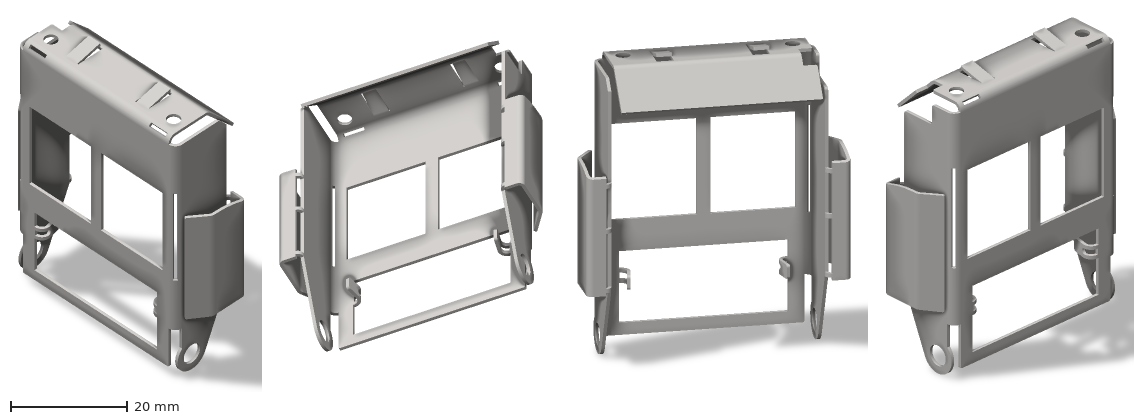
import cadquery as cq
import math


SHEET = 0.6
BEND_OUTER = 1.65
CLIP_BEND_OUTER = 1.1

HEIGHT = 55.05
HALF_WIDTH = 19.4
ROOF_TOP = 53.75
SHELL_BACK = 12.4
PLATE_BOTTOM = 1.85
PLATE_CORNER_RADIUS = 0.3
SIDE_BEND_BOTTOM = 10.6
PLATE_HALF_WIDTH = HALF_WIDTH - BEND_OUTER
PLATE_TOP = ROOF_TOP - BEND_OUTER
WALL_INNER = HALF_WIDTH - SHEET

UPPER_WINDOW_WIDTH = 15.0
UPPER_WINDOW_INNER = 1.2
UPPER_WINDOW_BOTTOM = 22.8
UPPER_WINDOW_TOP = 40.25
LOWER_WINDOW_HALF_WIDTH = 14.9
LOWER_WINDOW_BOTTOM = 4.1
LOWER_WINDOW_TOP = 17.05

LUG_RADIUS = 3.45
LUG_HOLE_RADIUS = 2.0
LUG_Y = 4.0
LUG_Z = LUG_RADIUS

WALL_NOTCH_FRONT = 5.45
WALL_NOTCH_BOTTOM = 48.2
WALL_NOTCH_RADIUS = 0.5
WALL_CHAMFER = 1.85

CLIP_BACK = SHELL_BACK + CLIP_BEND_OUTER
CLIP_HALF_WIDTH = 23.25
CLIP_KNEE_Y = 5.8
CLIP_KNEE_ANGLE = 37
CLIP_LIP_LENGTH = 4.3
CLIP_BOTTOM = 13.5
CLIP_TOP = 36.2
CLIP_TOP_ARC_START = 6.15
CLIP_TOP_ARC_RADIUS = 20.05
CLIP_LIP_DROP = 0.2
CLIP_LIP_RADIUS = 0.35
CLIP_STRIP_HEIGHT = 0.75
CLIP_STRIP_BOTTOMS = (14.05, 24.8, 33.0)

ROOF_BACK = 8.85
FLAP_ANGLE = 45
FLAP_LENGTH = 8.3
ROOF_NOTCH_FRONT = 7.05
ROOF_NOTCH_DEPTH = 2.5
ROOF_NOTCH_ON_FLAP = 1.65
ROOF_NOTCH_RADIUS = 0.35
ROOF_HOLE_X = 14.9
ROOF_HOLE_Y = 4.0
ROOF_HOLE_RADIUS = 1.3

TONGUE_INNER = 7.15
TONGUE_OUTER = 9.95
TONGUE_GAP = 0.2
TONGUE_ROOT_Y = 2.65
TONGUE_BEND_OUTER = 1.3
TONGUE_TILT = 13.5
TONGUE_TIP_RADIUS = 0.15
TONGUE_OPENING_BACK = 8.55

BEND_SLOT_ANGLE = 29
SIDE_SLOT_DIRECTION = -45
SIDE_SLOT_BOTTOM = 21.8
SIDE_SLOT_TOP = 41.35
ROOF_SLOT_DIRECTION = 135
ROOF_SLOT_INNER = 12.65
ROOF_SLOT_LENGTH = 3.95

HOOK_BOTTOM = 11.3
HOOK_HEIGHT = 2.6
HOOK_FLAT = 0.15
HOOK_LEAN = 12
HOOK_LENGTH = 2.9
HOOK_TIP_RADIUS = 0.5
HOOK_SLOT_WIDTH = 1.15

CUT_REACH = 5.5


def bent_sheet(plane, start, heading, moves):
    """Closed profile of a folded strip; start lies on its left side, sheet thickness to the right.

    Each move is ("straight", length) or ("bend", outer radius, angle), a positive angle turning left.
    """
    x, y = start
    left = [(start, None)]
    right = []

    def across(angle, distance):
        radians = math.radians(angle)
        return math.sin(radians) * distance, -math.cos(radians) * distance

    dx, dy = across(heading, SHEET)
    right.append(((x + dx, y + dy), None))
    for move in moves:
        left_mid = None
        right_mid = None
        if move[0] == "straight":
            x += move[1] * math.cos(math.radians(heading))
            y += move[1] * math.sin(math.radians(heading))
        else:
            outer, turn = move[1:]
            reach = outer if turn < 0 else SHEET - outer
            dx, dy = across(heading, reach)
            centre_x, centre_y = x + dx, y + dy
            dx, dy = across(heading + turn / 2, 1)
            left_mid = (centre_x - dx * reach, centre_y - dy * reach)
            right_mid = (centre_x - dx * (reach - SHEET), centre_y - dy * (reach - SHEET))
            heading += turn
            dx, dy = across(heading, reach)
            x, y = centre_x - dx, centre_y - dy
        dx, dy = across(heading, SHEET)
        left.append(((x, y), left_mid))
        right.append(((x + dx, y + dy), right_mid))

    outline = cq.Workplane(plane).moveTo(*start)
    for point, middle in left[1:]:
        outline = outline.threePointArc(middle, point) if middle else outline.lineTo(*point)
    outline = outline.lineTo(*right[-1][0])
    for index in range(len(right) - 1, 0, -1):
        point = right[index - 1][0]
        middle = right[index][1]
        outline = outline.threePointArc(middle, point) if middle else outline.lineTo(*point)
    return outline.close()


def block(x_range, y_range, z_range):
    """Box between two limits on each axis."""
    sizes = [high - low for low, high in (x_range, y_range, z_range)]
    corner = (x_range[0], y_range[0], z_range[0])
    return cq.Workplane("XY").box(*sizes, centered=False).translate(corner)


def both_sides(shape):
    """The shape together with its mirror image across the middle plane X = 0."""
    return shape.union(shape.mirror("YZ"))


def bend_wedge(plane, bend_centre, direction, length):
    """Cutter for a slot whose sides point at the bend axis; direction is its middle angle in degrees."""
    far_points = [
        (
            bend_centre[0] + CUT_REACH * math.cos(math.radians(direction + offset)),
            bend_centre[1] + CUT_REACH * math.sin(math.radians(direction + offset)),
        )
        for offset in (-BEND_SLOT_ANGLE / 2, BEND_SLOT_ANGLE / 2)
    ]
    return cq.Workplane(plane).polyline([bend_centre, *far_points]).close().extrude(length)


def front_plate():
    """Flat front with its two upper windows and one lower window."""
    plate = block((-PLATE_HALF_WIDTH, PLATE_HALF_WIDTH), (0, SHEET), (PLATE_BOTTOM, PLATE_TOP))
    plate = plate.edges("|Y and <Z").fillet(PLATE_CORNER_RADIUS)
    upper_window = block(
        (UPPER_WINDOW_INNER, UPPER_WINDOW_INNER + UPPER_WINDOW_WIDTH),
        (0, SHEET),
        (UPPER_WINDOW_BOTTOM, UPPER_WINDOW_TOP),
    )
    lower_window = block(
        (-LOWER_WINDOW_HALF_WIDTH, LOWER_WINDOW_HALF_WIDTH),
        (0, SHEET),
        (LOWER_WINDOW_BOTTOM, LOWER_WINDOW_TOP),
    )
    return plate.cut(both_sides(upper_window)).cut(lower_window)


def side_bend():
    """Right-hand bend joining the front plate to its side wall, with the slot along it."""
    bend = bent_sheet("XY", (PLATE_HALF_WIDTH, SHEET), 0, [("bend", BEND_OUTER, 90)])
    bend = bend.extrude(PLATE_TOP - SIDE_BEND_BOTTOM).translate((0, 0, SIDE_BEND_BOTTOM))
    bend_centre = (PLATE_HALF_WIDTH, BEND_OUTER)
    slot = bend_wedge("XY", bend_centre, SIDE_SLOT_DIRECTION, SIDE_SLOT_TOP - SIDE_SLOT_BOTTOM)
    slot = slot.translate((0, 0, SIDE_SLOT_BOTTOM))
    return bend.cut(slot)


def side_wall():
    """Right-hand wall, tapering down to the hinge lug."""
    corner_y, corner_z = SHELL_BACK, CLIP_STRIP_BOTTOMS[0]
    away_y, away_z = corner_y - LUG_Y, corner_z - LUG_Z
    tangent_angle = math.atan2(away_z, away_y) - math.acos(LUG_RADIUS / math.hypot(away_y, away_z))
    tangent_y = LUG_Y + LUG_RADIUS * math.cos(tangent_angle)
    tangent_z = LUG_Z + LUG_RADIUS * math.sin(tangent_angle)
    wall = (
        cq.Workplane("YZ", origin=(WALL_INNER, 0, 0))
        .polyline([
            (BEND_OUTER, LUG_Z),
            (BEND_OUTER, PLATE_TOP),
            (SHELL_BACK, PLATE_TOP),
            (corner_y, corner_z),
            (tangent_y, tangent_z),
            (LUG_Y, LUG_Z),
        ])
        .close()
        .extrude(SHEET)
    )
    lug = cq.Workplane("YZ", origin=(WALL_INNER, LUG_Y, LUG_Z))
    disc = lug.circle(LUG_RADIUS).extrude(SHEET)
    hole = lug.circle(LUG_HOLE_RADIUS).extrude(SHEET)
    return wall.union(disc).cut(hole)


def notched_left(wall):
    """Left-hand wall with its upper rear corner notched out."""
    notch = block(
        (-HALF_WIDTH, -WALL_INNER), (WALL_NOTCH_FRONT, SHELL_BACK), (WALL_NOTCH_BOTTOM, PLATE_TOP)
    )
    wall = wall.cut(notch)
    for y, z in (
        (WALL_NOTCH_FRONT, PLATE_TOP),
        (WALL_NOTCH_FRONT, WALL_NOTCH_BOTTOM),
        (SHELL_BACK, WALL_NOTCH_BOTTOM),
    ):
        corner = cq.selectors.NearestToPointSelector((-(HALF_WIDTH + WALL_INNER) / 2, y, z))
        wall = wall.edges("|X").edges(corner).fillet(WALL_NOTCH_RADIUS)
    return wall


def chamfered_right(wall):
    """Right-hand wall with its upper rear corner cut back to clear the sloping flap."""
    corner = cq.selectors.NearestToPointSelector(((HALF_WIDTH + WALL_INNER) / 2, SHELL_BACK, PLATE_TOP))
    return wall.edges("|X").edges(corner).chamfer(WALL_CHAMFER)


def clip():
    """Right-hand spring clip, joined to the wall by narrow strips through its first bend."""
    bend_end = WALL_INNER + CLIP_BEND_OUTER
    profile = bent_sheet("XY", (WALL_INNER, SHELL_BACK), 90, [
        ("bend", CLIP_BEND_OUTER, -90),
        ("straight", CLIP_HALF_WIDTH - CLIP_BEND_OUTER - bend_end),
        ("bend", CLIP_BEND_OUTER, -90),
        ("straight", CLIP_BACK - CLIP_BEND_OUTER - CLIP_KNEE_Y),
        ("bend", BEND_OUTER, -CLIP_KNEE_ANGLE),
        ("straight", CLIP_LIP_LENGTH),
    ]).extrude(HEIGHT)

    arc_run = CLIP_BACK - CLIP_TOP_ARC_START

    def arc_height(run):
        return CLIP_TOP - CLIP_TOP_ARC_RADIUS + math.sqrt(CLIP_TOP_ARC_RADIUS**2 - run**2)

    side_shape = (
        cq.Workplane("YZ", origin=(WALL_INNER, 0, 0))
        .moveTo(0, CLIP_BOTTOM - CLIP_LIP_DROP)
        .lineTo(0, CLIP_TOP)
        .lineTo(CLIP_TOP_ARC_START, CLIP_TOP)
        .threePointArc(
            (CLIP_TOP_ARC_START + arc_run / 2, arc_height(arc_run / 2)), (CLIP_BACK, arc_height(arc_run))
        )
        .lineTo(CLIP_BACK, CLIP_BOTTOM)
        .lineTo(CLIP_KNEE_Y, CLIP_BOTTOM)
        .close()
        .extrude(CLIP_HALF_WIDTH - WALL_INNER)
    )
    kept = side_shape.cut(block((WALL_INNER, bend_end), (SHELL_BACK, CLIP_BACK), (0, HEIGHT)))
    for bottom in CLIP_STRIP_BOTTOMS:
        kept = kept.union(
            block((WALL_INNER, bend_end), (SHELL_BACK, CLIP_BACK), (bottom, bottom + CLIP_STRIP_HEIGHT))
        )
    shape = profile.intersect(kept)

    lip_heading = math.radians(-90 - CLIP_KNEE_ANGLE)
    toward_tip = cq.Vector(math.cos(lip_heading), math.sin(lip_heading), 0)
    tip = cq.selectors.DirectionMinMaxSelector(toward_tip, directionMax=True)
    return shape.faces(tip).edges("not |Z").fillet(CLIP_LIP_RADIUS)


def notched_roof(folded):
    """Cut the notch at the left end, from the flat roof round the rear bend and onto the flap."""
    slope = math.radians(FLAP_ANGLE)

    def on_flap(distance):
        """Point where the notch ends on the flap, at a distance out from the axis of the rear bend."""
        y = ROOF_BACK + ROOF_NOTCH_ON_FLAP * math.cos(slope) + distance * math.sin(slope)
        z = PLATE_TOP - ROOF_NOTCH_ON_FLAP * math.sin(slope) + distance * math.cos(slope)
        return y, z

    notch = (
        cq.Workplane("YZ", origin=(-PLATE_HALF_WIDTH, 0, 0))
        .polyline([
            (ROOF_NOTCH_FRONT, PLATE_TOP),
            on_flap(0),
            on_flap(2 * BEND_OUTER),
            (ROOF_NOTCH_FRONT, HEIGHT),
        ])
        .close()
        .extrude(ROOF_NOTCH_DEPTH)
    )
    folded = folded.cut(notch)
    front_corner = (ROOF_NOTCH_FRONT, ROOF_TOP - SHEET / 2)
    flap_corner = on_flap(BEND_OUTER - SHEET / 2)
    for corner in (front_corner, flap_corner):
        edge = cq.selectors.NearestToPointSelector((-PLATE_HALF_WIDTH, *corner))
        folded = folded.edges(edge).fillet(ROOF_NOTCH_RADIUS)
    return folded


def roof():
    """Bend, flat roof and sloping flap, with its notch, holes, slots and tongues."""
    width = 2 * PLATE_HALF_WIDTH
    folded = bent_sheet("YZ", (0, PLATE_TOP), 90, [
        ("bend", BEND_OUTER, -90),
        ("straight", ROOF_BACK - BEND_OUTER),
        ("bend", BEND_OUTER, -FLAP_ANGLE),
        ("straight", FLAP_LENGTH),
    ])
    folded = folded.extrude(width).translate((-PLATE_HALF_WIDTH, 0, 0))
    folded = notched_roof(folded)

    hole = cq.Workplane("XY", origin=(ROOF_HOLE_X, ROOF_HOLE_Y, PLATE_TOP)).circle(ROOF_HOLE_RADIUS)
    slot = bend_wedge("YZ", (BEND_OUTER, PLATE_TOP), ROOF_SLOT_DIRECTION, ROOF_SLOT_LENGTH)
    slot = slot.translate((ROOF_SLOT_INNER, 0, 0))
    opening = block(
        (TONGUE_INNER - TONGUE_GAP, TONGUE_OUTER),
        (TONGUE_ROOT_Y, TONGUE_OPENING_BACK),
        (ROOF_TOP - SHEET, ROOF_TOP),
    )
    cuts = hole.extrude(CUT_REACH).union(slot).union(opening)
    return folded.cut(both_sides(cuts)).union(both_sides(tongue()))


def tongue():
    """Right-hand tongue, tilted up out of its opening to the top of the part."""
    tilt = math.radians(TONGUE_TILT)
    rise_in_bend = (TONGUE_BEND_OUTER - SHEET) * (1 - math.cos(tilt))
    length = (HEIGHT - ROOF_TOP - rise_in_bend) / math.sin(tilt)
    plate = bent_sheet("YZ", (TONGUE_ROOT_Y, ROOF_TOP), 0, [
        ("bend", TONGUE_BEND_OUTER, TONGUE_TILT),
        ("straight", length),
    ])
    plate = plate.extrude(TONGUE_OUTER - TONGUE_INNER).translate((TONGUE_INNER, 0, 0))
    return plate.faces(">Y").edges("not |X").fillet(TONGUE_TIP_RADIUS)


def hook():
    """Right-hand tab curled rearwards from the lower window edge, slotted through its bend."""
    bend_start = LOWER_WINDOW_HALF_WIDTH - HOOK_FLAT
    tab = bent_sheet("XY", (LOWER_WINDOW_HALF_WIDTH, 0), 180, [
        ("straight", HOOK_FLAT),
        ("bend", BEND_OUTER, -90 - HOOK_LEAN),
        ("straight", HOOK_LENGTH),
    ]).extrude(HOOK_HEIGHT).translate((0, 0, HOOK_BOTTOM))
    tab = tab.faces(">Y").edges("not |Z").fillet(HOOK_TIP_RADIUS)
    middle_z = HOOK_BOTTOM + HOOK_HEIGHT / 2
    bend_side = bend_start - BEND_OUTER
    slot = block(
        (bend_side, bend_start),
        (0, BEND_OUTER),
        (middle_z - HOOK_SLOT_WIDTH / 2, middle_z + HOOK_SLOT_WIDTH / 2),
    )
    slot_end = (
        cq.Workplane("YZ", origin=(bend_side, BEND_OUTER, middle_z))
        .circle(HOOK_SLOT_WIDTH / 2)
        .extrude(BEND_OUTER)
    )
    return tab.cut(slot).cut(slot_end)


right_wall = side_wall()
left_wall = right_wall.mirror("YZ")

result = (
    front_plate()
    .union(both_sides(side_bend()))
    .union(chamfered_right(right_wall))
    .union(notched_left(left_wall))
    .union(both_sides(clip()))
    .union(roof())
    .union(both_sides(hook()))
)